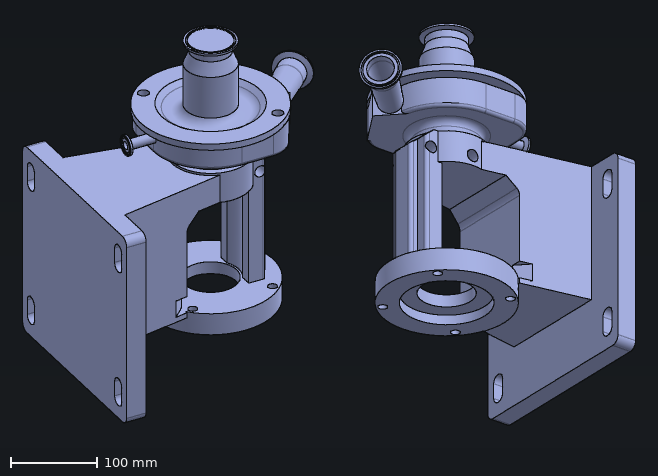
import cadquery as cq
import math


PLATE_SIZE_X = 250.0
PLATE_HEIGHT = 250.3
PLATE_FRONT_Y = -179.7
PLATE_THICKNESS = 25.8
PLATE_BACK_Y = PLATE_FRONT_Y + PLATE_THICKNESS
PLATE_CORNER_RADIUS = 10.0
SLOT_LENGTH = 36.3
SLOT_WIDTH = 17.0
SLOT_SPACING_X = 209.5
SLOT_SPACING_Z = 179.7

HUB_RADIUS = 50.5
HUB_BOTTOM = 213.0
HUB_TOP = 253.0
HUB_HOLE_RADIUS = 7.5
HUB_HOLE_DEPTH = 20.0
HUB_HOLE_Z = 226.0

BRACKET_FOOT_HALF_WIDTH = 74.0
BRACKET_HUB_HALF_WIDTH = 48.5
BRACKET_BOTTOM = 76.5
BRACKET_INNER_Y = -62.5
BRACKET_CHAMFER = 17.5
BRACKET_BLEND_RADIUS = 12.0

RING_RADIUS = 83.0
RING_BORE_RADIUS = 34.3
RING_RECESS_RADIUS = 55.0
RING_RECESS_DEPTH = 12.5
RING_BOTTOM = 55.0
RING_TOP = 83.5
RING_BOLT_CIRCLE_RADIUS = 74.5
RING_HOLE_RADIUS = 5.5
NOTCH_TOP = 105.0
NOTCH_WALL_SHIFT = 18.5
NOTCH_REACH = 36.3

ARM_INNER_Y = 32.0
ARM_STEP_Y = 55.0
ARM_OUTER_Y = 65.0
ARM_HALF_WIDTH = 33.5
ARM_RIB_HALF_WIDTH = 16.0
ARM_EDGE_RADIUS = 4.5
ARM_GROOVE_RADIUS = 37.0
ARM_SLOPE_DEPTH = 21.0
ARM_SLOPE_HEIGHT = 15.7
ARM_HOLE_RADIUS = 7.3
ARM_HOLE_Y = 47.0
ARM_HOLE_Z = 229.7

NECK_RADIUS = 42.0
NECK_BOTTOM = HUB_TOP
NECK_FLARE_RADIUS = 9.0

CASING_RADIUS = 75.8
CASING_BOTTOM = 272.5
CASING_TOP = 309.5
CASING_EDGE_RADIUS = 4.0
LUG_CORNER_RADIUS = 34.3

DISC_RADIUS = 92.5
DISC_TOP = 318.0
DISC_HOLE_RADIUS = 7.0
DISC_HOLE_DEPTH = 16.0
DISC_DRILL_RADIUS = 5.2
DISC_DRILL_DEPTH = 20.0
DISC_DRILL_TIP_DEPTH = 3.2
DISC_HOLE_OFFSET = 57.2
DISH_RADIUS = 64.5
DISH_FLOOR_RADIUS = 57.2
DISH_CONE_DEPTH = 5.5
DISH_LOW_RADIUS = 45.5
DISH_LOW_DEPTH = 10.0
DISH_INNER_DEPTH = 1.2

INLET_RADIUS = 32.2
INLET_NECK_RADIUS = 25.5
INLET_CONE_BOTTOM = 371.5
INLET_CONE_TOP = 388.5
INLET_FACE_Z = 403.0
INLET_FERRULE_RADIUS = 32.2
INLET_GROOVE_RADIUS = 28.2

DISCHARGE_Z = 289.8
DISCHARGE_OFFSET = 57.2
DISCHARGE_ROOT = 56.5
DISCHARGE_FLAT = 61.5
DISCHARGE_TAPER_END = 123.0
DISCHARGE_BORE_TAPER_END = 133.0
DISCHARGE_FACE = 144.5
DISCHARGE_ROOT_RADIUS = 15.5
DISCHARGE_END_RADIUS = 18.0
DISCHARGE_WALL = 2.0
DISCHARGE_FERRULE_RADIUS = 25.5
DISCHARGE_GROOVE_RADIUS = 21.8
OUTLET_TIP_OFFSET = 77.8
OUTLET_INNER_OFFSET = 36.3

PORT_Z = 293.0
PORT_RADIUS = 6.5
PORT_BORE_RADIUS = 5.0
PORT_FACE_DISTANCE = 112.5
PORT_FERRULE_RADIUS = 13.0
PORT_GROOVE_RADIUS = 10.0

FERRULE_LIP = 3.0
FERRULE_CONE = 2.0
GROOVE_WIDTH = 2.0
GROOVE_DEPTH = 1.2

SQRT2 = math.sqrt(2)


def cylinder(radius, bottom, top, x=0.0, y=0.0):
    return cq.Workplane("XY", origin=(x, y, bottom)).circle(radius).extrude(top - bottom)


def cross_hole(radius, y, z, x_start, length):
    return cq.Workplane("YZ", origin=(x_start, y, z)).circle(radius).extrude(length)


def revolve_profile(points):
    """Turn a closed (radius, height) profile about the Z axis."""
    return cq.Workplane("XZ").polyline(points).close().revolve(360, (0, 0, 0), (0, 1, 0))


def ferrule(face_height, radius, pipe_radius, groove_radius):
    """Clamp ferrule with a conical back and a gasket groove in its end face."""
    lip_height = face_height - FERRULE_LIP
    body = revolve_profile([
        (0, lip_height - FERRULE_CONE),
        (pipe_radius, lip_height - FERRULE_CONE),
        (radius, lip_height),
        (radius, face_height),
        (0, face_height),
    ])
    groove = (
        cq.Workplane("XY", origin=(0, 0, face_height - GROOVE_DEPTH))
        .circle(groove_radius + GROOVE_WIDTH / 2)
        .circle(groove_radius - GROOVE_WIDTH / 2)
        .extrude(GROOVE_DEPTH)
    )
    return body.cut(groove)


def place(body, origin, axis):
    """Move a body built along Z so that it starts at origin and runs along axis."""
    plane = cq.Plane(origin=origin, xDir=(0, 0, 1), normal=axis)
    return cq.Workplane(body.val().moved(cq.Location(plane)))


def discharge_point(along, offset):
    """XY point given by its distance along the discharge direction and its offset from the pump axis."""
    return ((offset - along) / SQRT2, (offset + along) / SQRT2)


def mounting_plate():
    plate = (
        cq.Workplane("XZ", origin=(0, PLATE_BACK_Y, PLATE_HEIGHT / 2))
        .rect(PLATE_SIZE_X, PLATE_HEIGHT)
        .extrude(PLATE_THICKNESS)
        .edges("|Y")
        .fillet(PLATE_CORNER_RADIUS)
    )
    slots = (
        cq.Workplane("XZ", origin=(0, PLATE_BACK_Y, PLATE_HEIGHT / 2))
        .rect(SLOT_SPACING_X, SLOT_SPACING_Z, forConstruction=True)
        .vertices()
        .slot2D(SLOT_LENGTH, SLOT_WIDTH, 90)
        .extrude(PLATE_THICKNESS)
    )
    return plate.cut(slots)


def bracket():
    hub_join_y = -math.sqrt(HUB_RADIUS**2 - BRACKET_HUB_HALF_WIDTH**2)
    plan = (
        cq.Workplane("XY")
        .moveTo(-BRACKET_FOOT_HALF_WIDTH, PLATE_BACK_Y)
        .lineTo(BRACKET_FOOT_HALF_WIDTH, PLATE_BACK_Y)
        .lineTo(BRACKET_HUB_HALF_WIDTH, hub_join_y)
        .lineTo(-BRACKET_HUB_HALF_WIDTH, hub_join_y)
        .close()
        .extrude(PLATE_HEIGHT)
    )
    side = (
        cq.Workplane("YZ", origin=(-PLATE_SIZE_X / 2, 0, 0))
        .moveTo(PLATE_BACK_Y, BRACKET_BOTTOM)
        .lineTo(BRACKET_INNER_Y, BRACKET_BOTTOM)
        .lineTo(BRACKET_INNER_Y, HUB_BOTTOM - BRACKET_CHAMFER)
        .lineTo(BRACKET_INNER_Y + BRACKET_CHAMFER, HUB_BOTTOM)
        .lineTo(0, HUB_BOTTOM)
        .lineTo(0, PLATE_HEIGHT)
        .lineTo(PLATE_BACK_Y, PLATE_HEIGHT)
        .close()
        .extrude(PLATE_SIZE_X)
    )
    blend_corner = cq.NearestToPointSelector((0, BRACKET_INNER_Y, HUB_BOTTOM - BRACKET_CHAMFER))
    side = side.edges("|X").edges(blend_corner).fillet(BRACKET_BLEND_RADIUS)
    return plan.intersect(side)


def bolt_notches():
    """Two corner notches with 45 degree walls that clear the front bolts of the ring."""
    wall_end_x = BRACKET_INNER_Y + NOTCH_WALL_SHIFT
    left = (
        cq.Workplane("XY", origin=(0, 0, RING_TOP))
        .moveTo(wall_end_x, BRACKET_INNER_Y)
        .lineTo(wall_end_x - NOTCH_REACH, BRACKET_INNER_Y - NOTCH_REACH)
        .lineTo(wall_end_x - NOTCH_REACH, BRACKET_INNER_Y)
        .close()
        .extrude(NOTCH_TOP - RING_TOP)
    )
    return left.union(left.mirror("YZ"))


def ring_holes():
    """Central bore with a recess from below, and four bolt holes on the diagonals."""
    bore = cylinder(RING_BORE_RADIUS, RING_BOTTOM, RING_TOP)
    holes = bore.union(cylinder(RING_RECESS_RADIUS, RING_BOTTOM, RING_BOTTOM + RING_RECESS_DEPTH))
    offset = RING_BOLT_CIRCLE_RADIUS / SQRT2
    for x in (-offset, offset):
        for y in (-offset, offset):
            holes = holes.union(cylinder(RING_HOLE_RADIUS, RING_BOTTOM, RING_TOP, x, y))
    return holes


def arm_block(half_width, y_start, y_end):
    """Upright block whose two rear edges are rounded."""
    return (
        cq.Workplane("XY", origin=(0, (y_start + y_end) / 2, RING_TOP))
        .rect(2 * half_width, y_end - y_start)
        .extrude(HUB_TOP - RING_TOP)
        .edges("|Z and >Y")
        .fillet(ARM_EDGE_RADIUS)
    )


def arm():
    wide = arm_block(ARM_HALF_WIDTH, ARM_INNER_Y, ARM_STEP_Y)
    rib = arm_block(ARM_RIB_HALF_WIDTH, ARM_INNER_Y, ARM_OUTER_Y)
    slope = (
        cq.Workplane("YZ", origin=(-ARM_HALF_WIDTH, 0, 0))
        .moveTo(ARM_OUTER_Y, HUB_TOP)
        .lineTo(ARM_OUTER_Y - ARM_SLOPE_DEPTH, HUB_TOP)
        .lineTo(ARM_OUTER_Y, HUB_TOP - ARM_SLOPE_HEIGHT)
        .close()
        .extrude(2 * ARM_HALF_WIDTH)
    )
    groove = cylinder(ARM_GROOVE_RADIUS, RING_TOP, HUB_BOTTOM)
    return wide.union(rib).cut(slope).cut(groove)


def neck():
    """Neck that flares out in a quarter round below the casing."""
    flare_start = CASING_BOTTOM - NECK_FLARE_RADIUS
    flare_rim = NECK_RADIUS + NECK_FLARE_RADIUS
    arc_middle = (
        flare_rim - NECK_FLARE_RADIUS / SQRT2,
        flare_start + NECK_FLARE_RADIUS / SQRT2,
    )
    return (
        cq.Workplane("XZ")
        .moveTo(0, NECK_BOTTOM)
        .lineTo(NECK_RADIUS, NECK_BOTTOM)
        .lineTo(NECK_RADIUS, flare_start)
        .threePointArc(arc_middle, (flare_rim, CASING_BOTTOM))
        .lineTo(0, CASING_BOTTOM)
        .close()
        .revolve(360, (0, 0, 0), (0, 1, 0))
    )


def casing():
    """Round casing with two square, rounded lugs on one diagonal and the outlet block."""
    height = CASING_TOP - CASING_BOTTOM
    body = cylinder(CASING_RADIUS, CASING_BOTTOM, CASING_TOP)
    for side in (-1, 1):
        lug_center = side * CASING_RADIUS / 2
        lug = (
            cq.Workplane("XY", origin=(lug_center, lug_center, CASING_BOTTOM))
            .rect(CASING_RADIUS, CASING_RADIUS)
            .extrude(height)
            .edges(cq.NearestToPointSelector((2 * lug_center, 2 * lug_center, CASING_BOTTOM + height / 2)))
            .fillet(LUG_CORNER_RADIUS)
        )
        body = body.union(lug)
    body = body.faces("<Z").edges().fillet(CASING_EDGE_RADIUS)
    lug_tip = CASING_RADIUS - LUG_CORNER_RADIUS * (1 - 1 / SQRT2)
    outlet_block = (
        cq.Workplane("XY", origin=(0, 0, CASING_BOTTOM))
        .moveTo(0, 0)
        .lineTo(lug_tip, lug_tip)
        .lineTo(*discharge_point(DISCHARGE_FLAT, OUTLET_TIP_OFFSET))
        .lineTo(*discharge_point(DISCHARGE_FLAT, OUTLET_INNER_OFFSET))
        .close()
        .extrude(height)
    )
    return body.union(outlet_block)


def dish():
    """Recess in the disc: a conical rim and a round-bottomed trough around the inlet pipe."""
    return (
        cq.Workplane("XZ")
        .moveTo(0, DISC_TOP)
        .lineTo(DISH_RADIUS, DISC_TOP)
        .lineTo(DISH_FLOOR_RADIUS, DISC_TOP - DISH_CONE_DEPTH)
        .threePointArc(
            (DISH_LOW_RADIUS, DISC_TOP - DISH_LOW_DEPTH),
            (INLET_RADIUS, DISC_TOP - DISH_INNER_DEPTH),
        )
        .lineTo(0, DISC_TOP - DISH_INNER_DEPTH)
        .close()
        .revolve(360, (0, 0, 0), (0, 1, 0))
    )


def disc_holes():
    """Two stepped holes with conical drill tips, one over each lug."""
    step = DISC_TOP - DISC_HOLE_DEPTH
    bottom = DISC_TOP - DISC_DRILL_DEPTH
    hole = revolve_profile([
        (0, DISC_TOP),
        (DISC_HOLE_RADIUS, DISC_TOP),
        (DISC_HOLE_RADIUS, step),
        (DISC_DRILL_RADIUS, step),
        (DISC_DRILL_RADIUS, bottom),
        (0, bottom - DISC_DRILL_TIP_DEPTH),
    ])
    right_hole = hole.translate((DISC_HOLE_OFFSET, DISC_HOLE_OFFSET, 0))
    return right_hole.union(hole.translate((-DISC_HOLE_OFFSET, -DISC_HOLE_OFFSET, 0)))


def inlet():
    neck_top = INLET_FACE_Z - FERRULE_LIP
    pipe = revolve_profile([
        (0, CASING_TOP),
        (INLET_RADIUS, CASING_TOP),
        (INLET_RADIUS, INLET_CONE_BOTTOM),
        (INLET_NECK_RADIUS, INLET_CONE_TOP),
        (INLET_NECK_RADIUS, neck_top),
        (0, neck_top),
    ])
    return pipe.union(
        ferrule(INLET_FACE_Z, INLET_FERRULE_RADIUS, INLET_NECK_RADIUS, INLET_GROOVE_RADIUS)
    )


def discharge_profile(start, taper_end, end, wall):
    """Tapered stretch followed by a straight one, its radius reduced by the wall."""
    return revolve_profile([
        (0, start),
        (DISCHARGE_ROOT_RADIUS - wall, start),
        (DISCHARGE_END_RADIUS - wall, taper_end),
        (DISCHARGE_END_RADIUS - wall, end),
        (0, end),
    ])


def place_discharge(body):
    x, y = discharge_point(0, DISCHARGE_OFFSET)
    return place(body, (x, y, DISCHARGE_Z), (-1, 1, 0))


def discharge():
    pipe = discharge_profile(DISCHARGE_ROOT, DISCHARGE_TAPER_END, DISCHARGE_FACE - FERRULE_LIP, 0)
    pipe = pipe.union(
        ferrule(DISCHARGE_FACE, DISCHARGE_FERRULE_RADIUS, DISCHARGE_END_RADIUS, DISCHARGE_GROOVE_RADIUS)
    )
    return place_discharge(pipe)


def discharge_bore():
    bore = discharge_profile(DISCHARGE_FLAT, DISCHARGE_BORE_TAPER_END, DISCHARGE_FACE, DISCHARGE_WALL)
    return place_discharge(bore)


def drain_port():
    pipe = cylinder(PORT_RADIUS, CASING_RADIUS / 2, PORT_FACE_DISTANCE - FERRULE_LIP)
    pipe = pipe.union(ferrule(PORT_FACE_DISTANCE, PORT_FERRULE_RADIUS, PORT_RADIUS, PORT_GROOVE_RADIUS))
    bore = cylinder(PORT_BORE_RADIUS, CASING_RADIUS, PORT_FACE_DISTANCE)
    return place(pipe.cut(bore), (0, 0, PORT_Z), (0, -1, 0))


support = (
    mounting_plate()
    .union(bracket().cut(bolt_notches()))
    .union(cylinder(RING_RADIUS, RING_BOTTOM, RING_TOP))
    .cut(ring_holes())
    .union(arm())
    .union(cylinder(HUB_RADIUS, HUB_BOTTOM, HUB_TOP))
    .cut(cross_hole(ARM_HOLE_RADIUS, ARM_HOLE_Y, ARM_HOLE_Z, -ARM_HALF_WIDTH, 2 * ARM_HALF_WIDTH))
    .cut(cross_hole(HUB_HOLE_RADIUS, 0, HUB_HOLE_Z, -HUB_RADIUS, HUB_HOLE_DEPTH))
)

pump = (
    neck()
    .union(casing())
    .union(cylinder(DISC_RADIUS, CASING_TOP, DISC_TOP))
    .cut(dish())
    .cut(disc_holes())
    .union(inlet())
    .union(discharge())
    .cut(discharge_bore())
    .union(drain_port())
)

result = support.union(pump)